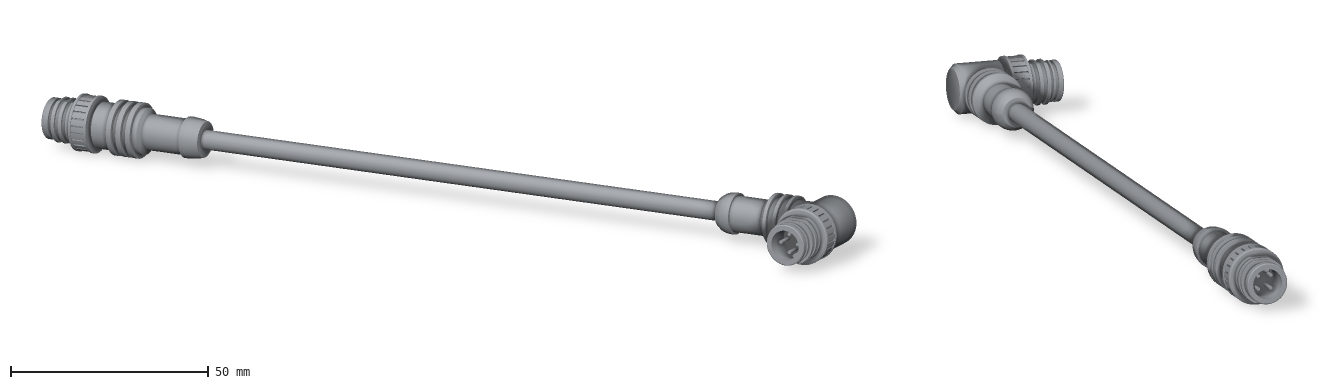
import cadquery as cq


total_length = 227.7
total_width = 28.2
nut_radius = 14.8 / 2
angled_axis_x = total_length - nut_radius
angled_face_y = nut_radius - total_width

cable_radius = 2.5
cable_insertion = 4.5

tube_radius = 10.7 / 2
tube_bore_radius = 3.9
tube_bore_depth = 6.8
tip_chamfer = 0.2
neck_radius = 4.8
pin_radius = 0.5
pin_circle_radius = 4.8 / 2
pin_length = 4.5
pin_count = 4
key_width = 1.0
key_height = 0.7

thread_radius = 6.0
thread_root_radius = 5.2
thread_flat_distance = 5.5
thread_tooth_width = 1.0
thread_pitch = 2.0
thread_tooth_count = 3
nut_chamfer_length = 0.2
nut_chamfer_depth = 0.5
nut_collar = 1.0
nut_rim = 0.7
knurl_recess = 0.2
knurl_radius = nut_radius - knurl_recess
knurl_count = 24
knurl_width = 0.5
knurl_depth = 0.5

ridge_pitch = 2.7
ridge_count = 3
sleeve_radius = 9.3 / 2
collar_radius = 10.7 / 2

straight_tip_end = 1.8
straight_thread_start = 3.0
straight_nut_start = 8.5
straight_nut_end = 13.7
straight_grip_start = 14.5
straight_grip_radius = 12.0 / 2
straight_ridge_start = 19.4
straight_ridge_width = 1.4
straight_ridge_radius = 14.3 / 2
straight_grip_end = 27.5
straight_sleeve_start = 28.5
straight_collar_start = 39.2
straight_collar_band = 1.1
straight_collar_end = 44.2
straight_nose_radius = sleeve_radius

angled_tip_end = 1.4
angled_lip_start = 2.3
angled_lip_end = 2.7
angled_thread_start = 3.6
angled_nut_start = 8.9
angled_nut_end = 14.3

elbow_radius = 13.0 / 2
elbow_back_y = 7.3
elbow_chamfer = 1.1
elbow_front_y = -6.1

angled_collar_start = 196.0
angled_collar_band = 1.1
angled_collar_end = 191.5
angled_nose_radius = 3.9
angled_sleeve_end = 204.7
angled_ridge_start = 206.5
angled_ridge_width = 1.0
angled_ridge_radius = 13.5 / 2
angled_grip_radius = 5.7


def revolved(stations):
    """Solid of revolution about X through (x, radius) stations."""
    outline = [(stations[0][0], 0), *stations, (stations[-1][0], 0)]
    return cq.Workplane("XY").polyline(outline).close().revolve(360, (0, 0, 0), (1, 0, 0))


def cylinder(start, end, radius):
    """Cylinder along X."""
    return revolved([(start, radius), (end, radius)])


def turned(shape, angle):
    """Shape turned about X, in degrees."""
    return shape.rotate((0, 0, 0), (1, 0, 0), angle)


def to_angled_port(shape):
    """Move a plug front with its face at x = 0 onto the port that opens toward -Y."""
    return shape.rotate((0, 0, 0), (0, 0, 1), 90).translate((angled_axis_x, angled_face_y, 0))


def grip_ridges(start, width, radius):
    """Row of ridges, to be joined to a housing."""
    ridges = cq.Workplane("XY")
    for index in range(ridge_count):
        ridge_x = start + index * ridge_pitch
        ridges = ridges.add(cylinder(ridge_x, ridge_x + width, radius))
    return ridges


def rounded_collar(band_start, band_end, nose_x, nose_radius):
    """Cylindrical band that rounds off toward the cable."""
    return (
        cq.Workplane("XY")
        .moveTo(band_start, 0)
        .lineTo(band_start, collar_radius)
        .lineTo(band_end, collar_radius)
        .tangentArcPoint((nose_x, nose_radius), relative=False)
        .lineTo(nose_x, 0)
        .close()
        .revolve(360, (0, 0, 0), (1, 0, 0))
    )


def with_contacts(housing, first_pin_angle, key_angle):
    """Hollow the plug face at x = 0 and leave the contact pins and coding key standing inside."""
    housing = housing.cut(cylinder(0, tube_bore_depth, tube_bore_radius))

    pin = cylinder(tube_bore_depth - pin_length, tube_bore_depth, pin_radius)
    pin = pin.translate((0, pin_circle_radius, 0))
    for index in range(pin_count):
        housing = housing.union(turned(pin, first_pin_angle + index * 360 / pin_count))

    key = cq.Workplane("XY").box(
        tube_bore_depth - tip_chamfer, neck_radius, key_width, centered=(False, False, True)
    )
    key = key.translate((tip_chamfer, 0, 0))
    key = key.intersect(cylinder(0, tube_bore_depth, neck_radius))
    key = key.cut(cylinder(0, tube_bore_depth, tube_bore_radius - key_height))
    return housing.union(turned(key, key_angle))


def make_coupling_nut(thread_start, nut_start, nut_end):
    """Knurled nut with a threaded sleeve that is flat at top and bottom."""
    thread = cylinder(thread_start, nut_start, thread_root_radius)
    for index in range(thread_tooth_count):
        tooth_start = thread_start + index * thread_pitch
        thread = thread.union(cylinder(tooth_start, tooth_start + thread_tooth_width, thread_radius))
    flats = cq.Workplane("XY").box(2 * nut_end, 2 * thread_radius, 2 * thread_flat_distance)
    thread = thread.intersect(flats)

    knurl_start = nut_start + nut_collar
    knurl_end = nut_end - nut_rim
    grip = revolved([
        (nut_start, nut_radius - nut_chamfer_depth),
        (nut_start + nut_chamfer_length, nut_radius),
        (knurl_start, nut_radius),
        (knurl_start, knurl_radius),
        (knurl_end, knurl_radius),
        (knurl_end, nut_radius),
        (nut_end, nut_radius),
    ])
    groove = cq.Workplane("XY").box(
        knurl_end - knurl_start, 2 * knurl_depth, knurl_width, centered=(False, True, True)
    )
    groove = groove.translate((knurl_start, knurl_radius, 0))
    step = 360 / knurl_count
    for index in range(knurl_count):
        grip = grip.cut(turned(groove, step / 2 + index * step))

    return thread.union(grip).cut(cylinder(thread_start, nut_end, neck_radius))


def make_cable():
    """Plain round cable, let into both plugs."""
    return cylinder(
        straight_collar_end - cable_insertion, angled_collar_end + cable_insertion, cable_radius
    )


def make_straight_housing():
    """Straight plug from its face to the cable."""
    body = revolved([
        (0, tube_radius - tip_chamfer),
        (tip_chamfer, tube_radius),
        (straight_tip_end, tube_radius),
        (straight_tip_end, neck_radius),
        (straight_grip_start, neck_radius),
        (straight_grip_start, straight_grip_radius),
        (straight_grip_end, straight_grip_radius),
        (straight_sleeve_start, sleeve_radius),
        (straight_collar_start, sleeve_radius),
    ])
    collar = rounded_collar(
        straight_collar_start,
        straight_collar_start + straight_collar_band,
        straight_collar_end,
        straight_nose_radius,
    )
    ridges = grip_ridges(straight_ridge_start, straight_ridge_width, straight_ridge_radius)
    body = body.union(ridges).union(collar)
    return with_contacts(body, first_pin_angle=45, key_angle=90)


def make_angled_housing():
    """Angled plug: front and elbow along Y, arm with sleeve and collar along X."""
    elbow_front = elbow_front_y - angled_face_y
    elbow_back = elbow_back_y - angled_face_y
    front = revolved([
        (0, tube_radius - tip_chamfer),
        (tip_chamfer, tube_radius),
        (angled_tip_end, tube_radius),
        (angled_tip_end, neck_radius),
        (angled_lip_start, neck_radius),
        (angled_lip_start, tube_radius),
        (angled_lip_end, tube_radius),
        (angled_lip_end, neck_radius),
        (elbow_front, neck_radius),
        (elbow_front, elbow_radius - elbow_chamfer),
        (elbow_front + elbow_chamfer, elbow_radius),
        (elbow_back - elbow_chamfer, elbow_radius),
        (elbow_back, elbow_radius - elbow_chamfer),
    ])
    front = to_angled_port(with_contacts(front, first_pin_angle=0, key_angle=225))

    arm = revolved([
        (angled_collar_start, sleeve_radius),
        (angled_sleeve_end, sleeve_radius),
        (angled_ridge_start, angled_ridge_radius),
        (angled_ridge_start, angled_grip_radius),
        (angled_axis_x, angled_grip_radius),
    ])
    collar = rounded_collar(
        angled_collar_start,
        angled_collar_start - angled_collar_band,
        angled_collar_end,
        angled_nose_radius,
    )
    ridges = grip_ridges(angled_ridge_start, angled_ridge_width, angled_ridge_radius)
    return front.union(arm).union(ridges).union(collar)


cable = make_cable()
straight_housing = make_straight_housing().cut(cable)
straight_nut = make_coupling_nut(straight_thread_start, straight_nut_start, straight_nut_end)
angled_housing = make_angled_housing().cut(cable)
angled_nut = to_angled_port(make_coupling_nut(angled_thread_start, angled_nut_start, angled_nut_end))

result = cq.Compound.makeCompound([
    cable.val(),
    straight_housing.solids().val(),
    straight_nut.solids().val(),
    angled_housing.solids().val(),
    angled_nut.solids().val(),
])